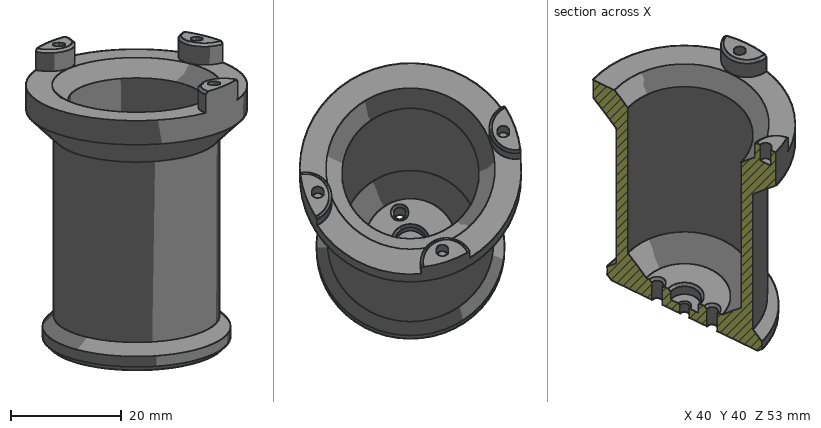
import cadquery as cq

total_height = 53.0
lug_height = 4.0
rim_height = total_height - lug_height
flange_radius = 20.0
flange_thickness = 4.6
tube_radius = 15.0
base_radius = 17.0
base_chamfer = 1.0
base_band_top = 3.0
base_cone_height = base_radius - tube_radius
flange_cone_height = flange_radius - tube_radius

bore_radius = 24.7 / 2
funnel_radius = 15.25
funnel_depth = funnel_radius - bore_radius
floor_radius = 16.6 / 2
floor_cone_height = bore_radius - floor_radius
floor_height = 5.0

recess_diameter = 6.0
recess_depth = 2.5
recess_chamfer = 0.5
center_hole_diameter = 1.89
center_hole_chamfer = 0.3
side_hole_diameter = 2.2
side_hole_chamfer = 0.5
side_hole_offset = 6.0

lug_radius = 4.7
lug_chamfer = 0.5
lug_angles = (0, 90, 180)
lug_hole_diameter = 2.2
lug_hole_depth = lug_height
lug_hole_offset = 17.7


def make_body():
    """Flanged tube revolved about Z, with a solid core."""
    flange_bottom = rim_height - flange_thickness
    profile = (
        cq.Workplane("XZ")
        .moveTo(0, 0)
        .lineTo(base_radius - base_chamfer, 0)
        .lineTo(base_radius, base_chamfer)
        .lineTo(base_radius, base_band_top)
        .lineTo(tube_radius, base_band_top + base_cone_height)
        .lineTo(tube_radius, flange_bottom - flange_cone_height)
        .lineTo(flange_radius, flange_bottom)
        .lineTo(flange_radius, rim_height)
        .lineTo(0, rim_height)
        .close()
    )
    return profile.revolve(360, (0, 0, 0), (0, 1, 0))


def make_cavity():
    """Bore that tapers to a flat floor, with a funnel mouth."""
    profile = (
        cq.Workplane("XZ")
        .moveTo(0, floor_height)
        .lineTo(floor_radius, floor_height)
        .lineTo(bore_radius, floor_height + floor_cone_height)
        .lineTo(bore_radius, rim_height - funnel_depth)
        .lineTo(funnel_radius, rim_height)
        .lineTo(0, rim_height)
        .close()
    )
    return profile.revolve(360, (0, 0, 0), (0, 1, 0))


def make_drill(diameter, top, bottom, chamfer, y=0):
    """Vertical round cutter that widens at its top by a 45 degree chamfer."""
    shank = cq.Workplane("XY", origin=(0, y, bottom)).circle(diameter / 2).extrude(top - bottom)
    mouth = (
        cq.Workplane("XY", origin=(0, y, top - chamfer))
        .circle(diameter / 2)
        .workplane(offset=chamfer)
        .circle(diameter / 2 + chamfer)
        .loft()
    )
    return shank.union(mouth)


def make_lug(angle):
    """Round post centred on the flange edge, trimmed to the flange and holding a blind hole."""
    post = (
        cq.Workplane("XY", origin=(flange_radius, 0, rim_height))
        .circle(lug_radius)
        .extrude(lug_height)
        .faces(">Z")
        .chamfer(lug_chamfer)
    )
    flange_column = cq.Workplane("XY", origin=(0, 0, rim_height)).circle(flange_radius).extrude(lug_height)
    hole = (
        cq.Workplane("XY", origin=(lug_hole_offset, 0, total_height))
        .circle(lug_hole_diameter / 2)
        .extrude(-lug_hole_depth)
    )
    lug = post.intersect(flange_column).cut(hole)
    return lug.rotate((0, 0, 0), (0, 0, 1), angle)


result = make_body().cut(make_cavity())

recess_floor = floor_height - recess_depth
result = result.cut(make_drill(recess_diameter, floor_height, recess_floor, recess_chamfer))
result = result.cut(make_drill(center_hole_diameter, recess_floor, 0, center_hole_chamfer))
for side_hole_y in (-side_hole_offset, side_hole_offset):
    result = result.cut(make_drill(side_hole_diameter, floor_height, 0, side_hole_chamfer, side_hole_y))

for lug_angle in lug_angles:
    result = result.union(make_lug(lug_angle))